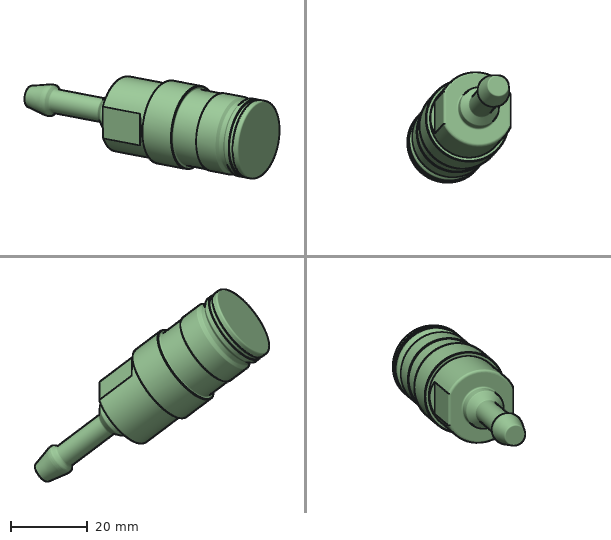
import cadquery as cq
import math

total_length = 70.6

tip_radius = 2.8
barb_radius = 4.2
shank_radius = 3.2
barb_crest_start = 5.9
barb_crest_end = 7.0
barb_front_fillet = 2.8
barb_back_fillet = 0.6
tip_fillet = 0.35

collar_radius = 5.15
collar_start = 24.9
collar_fillet = 0.4
collar_root_fillet = 0.4

body_start = 27.9
body_radius = 9.95
body_rim_fillet = 0.7
flat_distance = 9.0
flat_end = 39.6

ring_start = 41.5
ring_end = 50.55
ring_radius = 11.0
ring_chamfer = 0.18
ring_root_fillet = 0.2

band_radius = 10.1
sleeve_radius = 10.3
sleeve_start = 57.55
sleeve_chamfer = 0.2
deep_groove_start = 63.6
deep_groove_end = 66.4
deep_groove_radius = 9.5
deep_groove_fillet = 0.3
shallow_groove_start = 67.7
shallow_groove_end = 68.9
shallow_groove_radius = 9.95
end_fillet = 0.4

barb_end = barb_crest_end + barb_radius - shank_radius
collar_cone_start = collar_start - (collar_radius - shank_radius)
deep_groove_depth = sleeve_radius - deep_groove_radius
deep_groove_floor_start = deep_groove_start + deep_groove_depth
deep_groove_floor_end = deep_groove_end - deep_groove_depth


def turned_shape():
    """Revolve the half outline of the coupling about the X axis."""
    arc_offset = 1 - math.sqrt(0.5)
    collar_arc_drop = collar_root_fillet * arc_offset
    ring_arc_drop = ring_root_fillet * arc_offset
    outline = (
        cq.Workplane("XY")
        .moveTo(0, 0)
        .lineTo(0, tip_radius)
        .lineTo(barb_crest_start, barb_radius)
        .lineTo(barb_crest_end, barb_radius)
        .lineTo(barb_end, shank_radius)
        .lineTo(collar_cone_start, shank_radius)
        .lineTo(collar_start, collar_radius)
        .lineTo(body_start - collar_root_fillet, collar_radius)
        .threePointArc(
            (body_start - collar_arc_drop, collar_radius + collar_arc_drop),
            (body_start, collar_radius + collar_root_fillet),
        )
        .lineTo(body_start, body_radius)
        .lineTo(ring_start, body_radius)
        .lineTo(ring_start, ring_radius - ring_chamfer)
        .lineTo(ring_start + ring_chamfer, ring_radius)
        .lineTo(ring_end - ring_chamfer, ring_radius)
        .lineTo(ring_end, ring_radius - ring_chamfer)
        .lineTo(ring_end, band_radius + ring_root_fillet)
        .threePointArc(
            (ring_end + ring_arc_drop, band_radius + ring_arc_drop),
            (ring_end + ring_root_fillet, band_radius),
        )
        .lineTo(sleeve_start, band_radius)
        .lineTo(sleeve_start + sleeve_chamfer, sleeve_radius)
        .lineTo(deep_groove_start, sleeve_radius)
        .lineTo(deep_groove_floor_start, deep_groove_radius)
        .lineTo(deep_groove_floor_end, deep_groove_radius)
        .lineTo(deep_groove_end, sleeve_radius)
        .lineTo(shallow_groove_start, sleeve_radius)
        .lineTo(shallow_groove_start, shallow_groove_radius)
        .lineTo(shallow_groove_end, shallow_groove_radius)
        .lineTo(shallow_groove_end, sleeve_radius)
        .lineTo(total_length, sleeve_radius)
        .lineTo(total_length, 0)
        .close()
    )
    return outline.revolve(360, (0, 0, 0), (1, 0, 0))


def slice_at(position):
    """Selector for whatever is centred within a very thin slice across X at the given position."""
    half_thickness = 0.01
    return cq.selectors.BoxSelector(
        (position - half_thickness, -ring_radius, -ring_radius),
        (position + half_thickness, ring_radius, ring_radius),
    )


def round_edge(solid, position, radius):
    """Fillet the circular edge that lies at the given X position."""
    return solid.edges("%CIRCLE").edges(slice_at(position)).fillet(radius)


def round_body_rim(solid):
    """Round the outer rim of the body's end face, along the round sides and the flats."""
    end_face = solid.faces(slice_at(body_start)).val()
    rim_edges = end_face.outerWire().Edges()
    return cq.Workplane(solid.val().fillet(body_rim_fillet, rim_edges))


def wrench_flat(side):
    """Material to cut for one flat, on the +Y or -Y side; its inner end rises at 45 degrees."""
    depth = ring_radius - flat_distance
    return (
        cq.Workplane("XY")
        .moveTo(body_start, side * flat_distance)
        .lineTo(flat_end, side * flat_distance)
        .lineTo(flat_end + depth, side * ring_radius)
        .lineTo(body_start, side * ring_radius)
        .close()
        .extrude(ring_radius, both=True)
    )


coupling = turned_shape()

rounded_edges = [
    (0, tip_fillet),
    (barb_crest_start, barb_front_fillet),
    (barb_crest_end, barb_back_fillet),
    (barb_end, barb_back_fillet),
    (collar_cone_start, collar_fillet),
    (collar_start, collar_fillet),
    (deep_groove_start, deep_groove_fillet),
    (deep_groove_floor_start, deep_groove_fillet),
    (deep_groove_floor_end, deep_groove_fillet),
    (deep_groove_end, deep_groove_fillet),
    (total_length, end_fillet),
]
for edge_position, fillet_radius in rounded_edges:
    coupling = round_edge(coupling, edge_position, fillet_radius)

for flat_side in (1, -1):
    coupling = coupling.cut(wrench_flat(flat_side))

result = round_body_rim(coupling)